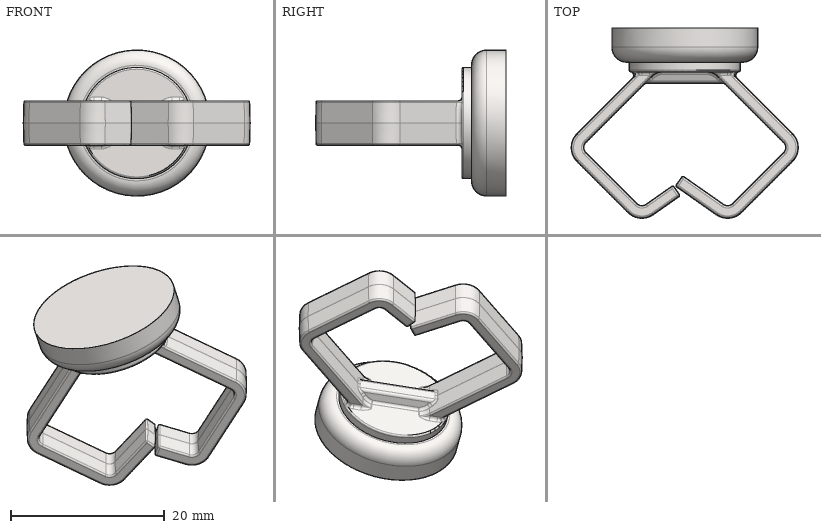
import cadquery as cq
import math

base_radius = 9.495
base_depth = 4.5
base_rounding = 1.98

plate_radius = 7.23
plate_thickness = 1.25
plate_front = -(base_depth + plate_thickness)

arm_height = 5.8
arm_thickness = 1.65
draft_angle = 1.5
elbow = (14.65, -15.55)
lower_leg_drop = 8.9
leg_angle = 45
tip_angle = 35
right_tip_length = 7.95
left_tip_length = 5.75
outer_bend_radius = 2.57
inner_bend_radius = 0.92
inner_foot_radius = 2.5
foot_ledge = 1.48
foot_end = plate_front + plate_thickness / 2

bar_depth = 1.5
bar_front_height = 2.0
bar_slope = 20
bar_end_overlap = 0.2

edge_rounding = 0.25
bar_rounding = 0.5
joint_rounding = 0.47

half_height = arm_height / 2
half_thickness = arm_thickness / 2
diagonal_offset = half_thickness * math.sqrt(2)
knee = (elbow[0] - lower_leg_drop, elbow[1] - lower_leg_drop)
upper_leg_sum = elbow[0] + elbow[1]
inner_foot = (upper_leg_sum - plate_front - diagonal_offset, plate_front)
bar_front = plate_front - bar_depth
tolerance = 0.0003


def knee_point(side):
    """Sharp corner of lower leg and tip, on the outside (+1) or inside (-1) of the hook."""
    half_corner = math.radians((180 - leg_angle - tip_angle) / 2)
    lean = math.radians((leg_angle - tip_angle) / 2)
    reach = side * half_thickness / math.sin(half_corner)
    return (knee[0] + reach * math.sin(lean), knee[1] - reach * math.cos(lean))


def tip_point(tip_length, side):
    """End corner of the tip, on the outside (+1) or inside (-1) of the hook."""
    angle = math.radians(tip_angle)
    offset = side * half_thickness
    x = knee[0] - tip_length * math.cos(angle) - offset * math.sin(angle)
    y = knee[1] + tip_length * math.sin(angle) - offset * math.cos(angle)
    return (x, y)


def upper_half_arm(tip_length):
    """Upper half of the right-hand arm, widest at Z = 0 and drafted towards its top."""
    outer_elbow = (elbow[0] + diagonal_offset, elbow[1])
    inner_elbow = (elbow[0] - diagonal_offset, elbow[1])
    outer_tip = tip_point(tip_length, 1)
    inner_tip = tip_point(tip_length, -1)
    outline = [
        (upper_leg_sum - foot_end + diagonal_offset, foot_end),
        outer_elbow,
        knee_point(1),
        outer_tip,
        inner_tip,
        knee_point(-1),
        inner_elbow,
        inner_foot,
        (inner_foot[0] - foot_ledge, plate_front),
        (inner_foot[0] - foot_ledge, foot_end),
    ]
    corner_radii = [
        (outer_elbow, outer_bend_radius),
        (inner_foot, inner_foot_radius),
        (inner_elbow, inner_bend_radius),
        (knee_point(1), outer_bend_radius),
        (knee_point(-1), inner_bend_radius),
        (outer_tip, edge_rounding),
        (inner_tip, edge_rounding),
    ]
    profile = cq.Sketch().polygon(outline + outline[:1])
    for (x, y), radius in corner_radii:
        corner = cq.NearestToPointSelector((x, y, 0))
        profile = profile.reset().vertices(corner).fillet(radius)
    half = cq.Workplane("XY").placeSketch(profile.reset()).extrude(half_height, taper=draft_angle)
    return half.faces(">Z").edges().fillet(edge_rounding)


def upper_half_of(body):
    """The part of a body that lies above Z = 0."""
    size = 4 * base_radius
    return body.intersect(cq.Workplane("XY").box(size, size, size, centered=(True, True, False)))


def make_plate():
    plate = cq.Workplane("XZ", origin=(0, -base_depth, 0)).circle(plate_radius).extrude(plate_thickness)
    return plate.faces("<Y").edges().fillet(edge_rounding)


def make_bar():
    """Bar with a sloping top and bottom, whose ends and back are buried in the arms and plate."""
    half_length = inner_foot[0] + bar_depth + bar_end_overlap
    front = bar_front_height / 2
    back = front + bar_depth * math.tan(math.radians(bar_slope))
    section = [
        (bar_front, -front),
        (bar_front, front),
        (plate_front, back),
        (foot_end, back),
        (foot_end, -back),
        (plate_front, -back),
    ]
    bar = cq.Workplane("YZ").polyline(section).close().extrude(half_length, both=True)
    return bar.edges("|X and <Y").fillet(bar_rounding)


def is_joint(edge):
    """True for the inside corners where arms, bar and plate meet, above Z = 0."""
    box = edge.BoundingBox()
    if box.zmax < 0.003:
        return False
    if abs(box.ymin - plate_front) < tolerance and abs(box.ymax - plate_front) < tolerance:
        return edge.geomType() != "CIRCLE"
    beside_bar = box.ymin > bar_front - 0.03 and box.ymax < plate_front + 0.03
    near_bar = max(abs(box.zmin), abs(box.zmax)) < 2.07 and box.xmax - box.xmin < 3.55
    at_bar_end = 2.65 < abs(edge.Center().x) < 5.32
    return beside_bar and near_bar and at_bar_end


def make_base():
    puck = cq.Workplane("XZ").circle(base_radius).extrude(base_depth)
    return puck.faces("<Y").edges().fillet(base_rounding)


def make_hook():
    """Plate, two arms and bar as one body, built above Z = 0 and mirrored."""
    half = upper_half_of(make_plate())
    half = half.union(upper_half_arm(right_tip_length))
    half = half.union(upper_half_arm(left_tip_length).mirror("YZ"))
    half = half.union(upper_half_of(make_bar()))
    joints = [edge for edge in half.edges().vals() if is_joint(edge)]
    half = half.newObject(joints).fillet(joint_rounding)
    return half.union(half.mirror("XY"))


base = make_base()
hook = make_hook()

result = cq.Compound.makeCompound([base.val(), hook.val()])